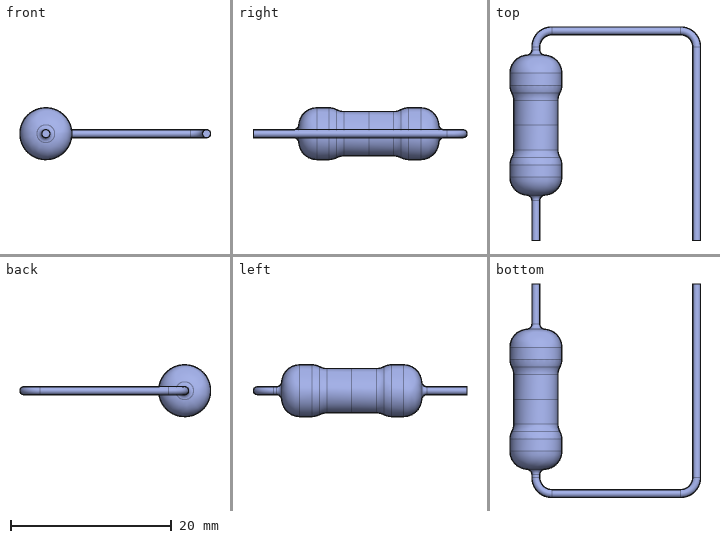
import cadquery as cq
import math


overall_length = 26.6
lead_diameter = 1.0
lead_radius = lead_diameter / 2
lead_pitch = 20.0
bend_radius = 2.0

body_center = 14.36
bulge_radius = 6.5 / 2
waist_radius = 5.53 / 2
waist_half_length = 3.09
bulge_inner = 4.95
bulge_outer = 6.46
cap_radius = 2.25
neck_radius = 0.65

cap_arc_x = bulge_radius - cap_radius
neck_arc_x = lead_radius + neck_radius
neck_offset = neck_arc_x - cap_arc_x
neck_end = bulge_outer + math.sqrt((cap_radius + neck_radius) ** 2 - neck_offset**2)
neck_blend = cap_radius / (cap_radius + neck_radius)
neck_meet_x = cap_arc_x + neck_offset * neck_blend
neck_meet_y = bulge_outer + (neck_end - bulge_outer) * neck_blend

shoulder_x = (bulge_radius + waist_radius) / 2
shoulder_y = (bulge_inner + waist_half_length) / 2


def make_body():
    """Revolved upper half of the body, mirrored about its middle."""
    half_profile = (
        cq.Workplane("XY", origin=(0, body_center, 0))
        .lineTo(waist_radius, 0)
        .lineTo(waist_radius, waist_half_length)
        .tangentArcPoint((shoulder_x, shoulder_y), relative=False)
        .tangentArcPoint((bulge_radius, bulge_inner), relative=False)
        .lineTo(bulge_radius, bulge_outer)
        .tangentArcPoint((neck_meet_x, neck_meet_y), relative=False)
        .tangentArcPoint((lead_radius, neck_end), relative=False)
        .lineTo(0, neck_end)
        .close()
    )
    half_body = half_profile.revolve(360, (0, 0, 0), (0, 1, 0))
    return half_body.union(half_body.mirror("XZ", (0, body_center, 0)))


def make_short_lead():
    """Straight lead from the origin to the lower neck."""
    lead = cq.Workplane("XZ").circle(lead_radius)
    return lead.extrude(-(body_center - neck_end))


def make_bent_lead():
    """Lead leaving the upper neck, crossing over and running back to Y = 0."""
    start = body_center + neck_end
    crossing_y = overall_length - lead_radius
    bend_y = crossing_y - bend_radius
    path = (
        cq.Workplane("XY")
        .moveTo(0, start)
        .lineTo(0, bend_y)
        .tangentArcPoint((bend_radius, crossing_y), relative=False)
        .lineTo(lead_pitch - bend_radius, crossing_y)
        .tangentArcPoint((lead_pitch, bend_y), relative=False)
        .lineTo(lead_pitch, 0)
    )
    section = cq.Workplane("XZ", origin=(0, start, 0)).circle(lead_radius)
    return section.sweep(path)


result = make_body().union(make_short_lead()).union(make_bent_lead())